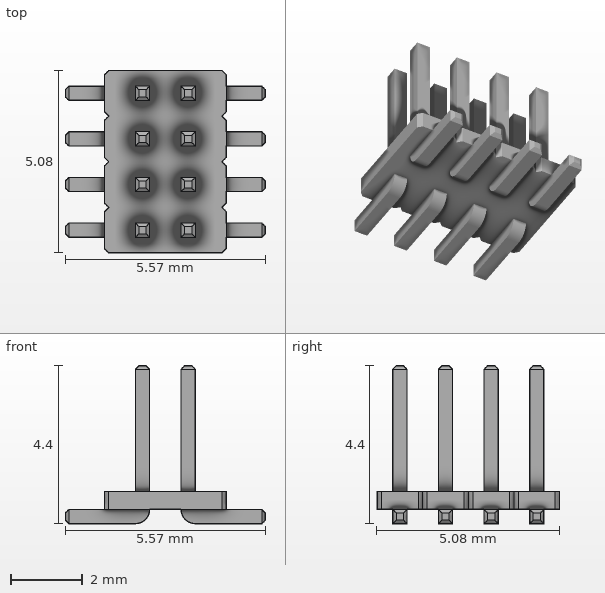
import cadquery as cq


pitch = 1.27
pins_per_row = 4
overall_length = 5.57
overall_height = 4.4
pin_width = 0.4
tip_chamfer = 0.1
body_width = 3.4
body_thickness = 0.5
notch_size = 0.12

body_bottom = pin_width
foot_end_x = overall_length / 2
post_inner_x = (pitch - pin_width) / 2
post_outer_x = (pitch + pin_width) / 2
first_pair_y = -(pins_per_row - 1) * pitch / 2
pair_positions = [(0, first_pair_y + i * pitch, 0) for i in range(pins_per_row)]


def make_body():
    """Insulator with one chamfered block per pin pair, so V notches form between blocks."""
    block = (
        cq.Workplane("XY", origin=(0, 0, body_bottom))
        .box(body_width, pitch, body_thickness, centered=(True, True, False))
        .edges("|Z")
        .chamfer(notch_size)
    )
    body = cq.Workplane("XY")
    for position in pair_positions:
        body = body.union(block.translate(position))
    return body


def make_pin():
    """L-shaped pin with an upright post, a rounded heel, a foot toward +X and chamfered ends."""
    return (
        cq.Workplane("XZ")
        .moveTo(post_inner_x, overall_height)
        .lineTo(post_inner_x, pin_width)
        .radiusArc((post_outer_x, 0), -pin_width)
        .lineTo(foot_end_x, 0)
        .lineTo(foot_end_x, pin_width)
        .lineTo(post_outer_x, pin_width)
        .lineTo(post_outer_x, overall_height)
        .close()
        .extrude(pin_width / 2, both=True)
        .faces(">Z or >X")
        .chamfer(tip_chamfer)
    )


right_pin = make_pin()
left_pin = right_pin.mirror("YZ")

result = make_body()
for position in pair_positions:
    for pin in (right_pin, left_pin):
        result = result.union(pin.translate(position))